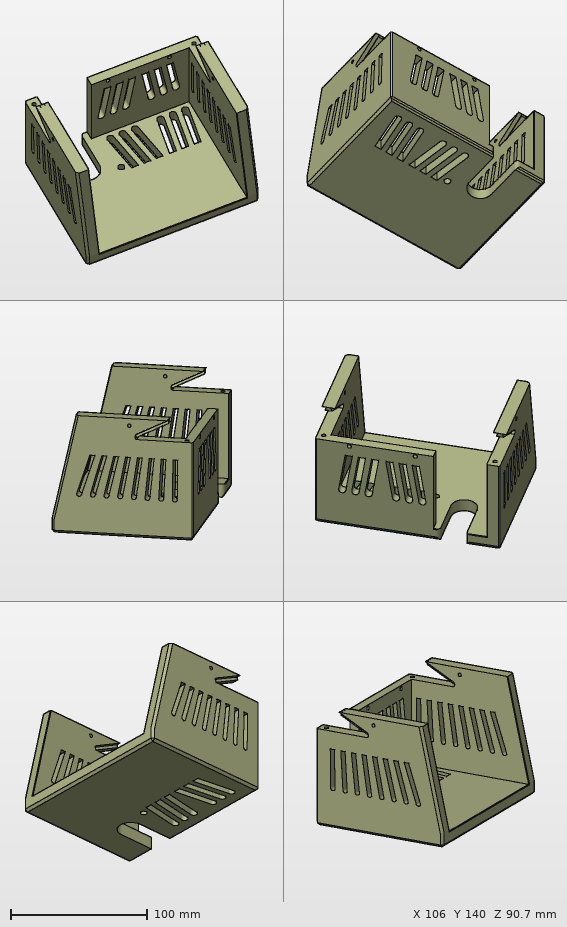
import cadquery as cq
import math

LENGTH = 106.0
WIDTH = 140.0
HEIGHT = 90.71

SIDE_THICKNESS = 10.0
FLOOR_THICKNESS = 10.0
FRONT_THICKNESS = 7.5
FRONT_HEIGHT = 75.0
FRONT_WALL_END_Y = -19.5
BACK_TOP_X = 88.0
BACK_BEND_Z = 10.7
OUTER_CHAMFER = 2.0
FRONT_EDGE_CHAMFER = 1.0
RIM_CHAMFER = 0.5
INNER_WIDTH = WIDTH - 2 * SIDE_THICKNESS
SIDE_CENTRE_Y = (WIDTH - SIDE_THICKNESS) / 2

HOOK_TIP_X = 19.0
NOTCH_END_X = 43.5
NOTCH_ROOF_END_X = 42.4
NOTCH_ROOF_END_Z = 78.9
RAIL_TIP_DROP = 2.8
RAIL_ROOT_WIDTH = 3.6
RAIL_BASE_WIDTH = 5.2

CABLE_SLOT_Y = -34.5
CABLE_SLOT_WIDTH = 20.0
CABLE_SLOT_END_X = 41.7
CABLE_MOUTH_RADIUS = 3.0

SIDE_VENT_COUNT = 8
SIDE_VENT_WIDTH = 3.6
SIDE_VENT_TOP_Z = 61.0
SIDE_VENT_BOTTOM_Z = 29.0
SIDE_VENT_TOP_X = 13.3
SIDE_VENT_TOP_PITCH = 8.87
SIDE_VENT_BOTTOM_X = 13.7
SIDE_VENT_BOTTOM_PITCH = 10.24

VENTS_PER_GROUP = 3
VENT_WIDTH = 5.4
VENT_LENGTH = 34.0
VENT_PITCH = 10.0
VENT_LEAN = 5.0
VENT_INNER_OFFSET = 5.4
FRONT_VENT_CENTRE_Y = 19.2
FRONT_VENT_START_Z = 30.0
FLOOR_VENT_CENTRE_Y = 23.9
FLOOR_VENT_START_X = 10.4
FLOOR_PLANE = cq.Plane(origin=(0, 0, 0), xDir=(0, 1, 0), normal=(0, 0, -1))

PILOT_DIAMETER = 3.0
PILOT_X = 5.5
PILOT_DEPTH = 20.0
HOOK_HOLE_DIAMETER = 2.55
HOOK_HOLE_X = 47.8
HOOK_HOLE_Z = 85.3
FRONT_HOLE_DIAMETER = 3.0
FRONT_HOLE_SPACING = 50.0
FRONT_HOLE_Z = 72.5
FLOOR_HOLE_DIAMETER = 5.0
FLOOR_HOLE_X = 40.5
FLOOR_HOLE_Y = -10.9


def across_width(profile):
    """Extrude an XZ profile through the full width."""
    return profile.extrude(WIDTH / 2, both=True)


def chamfer_rims(shell):
    """Break the floor and side wall edges around the front gap and the open back."""
    margin = 0.1
    inner_y = INNER_WIDTH / 2 + margin
    front_low = (-margin, -inner_y, FLOOR_THICKNESS - margin)
    front_high = (margin, FRONT_WALL_END_Y - margin, FRONT_HEIGHT + margin)
    front_rim = cq.selectors.BoxSelector(front_low, front_high)
    back_low = (BACK_TOP_X - margin, -inner_y, FLOOR_THICKNESS - margin)
    back_high = (LENGTH + margin, inner_y, HEIGHT - margin)
    back_rim = cq.selectors.BoxSelector(back_low, back_high)
    return shell.edges(front_rim).chamfer(RIM_CHAMFER).edges(back_rim).chamfer(RIM_CHAMFER)


def make_shell():
    """Solid block with a sloped back and chamfered edges, hollowed into floor and walls."""
    outline = [(0, 0), (LENGTH, 0), (LENGTH, BACK_BEND_Z), (BACK_TOP_X, HEIGHT), (0, HEIGHT)]
    block = across_width(cq.Workplane("XZ").polyline(outline).close())
    slope_middle = ((LENGTH + BACK_TOP_X) / 2, 0, (BACK_BEND_Z + HEIGHT) / 2)
    slope_face = block.faces(cq.selectors.NearestToPointSelector(slope_middle))
    chamfered = block.faces("<Z").edges("|X or |Y").add(block.faces(">X").edges("|Z"))
    block = chamfered.add(slope_face.edges("not |Y")).chamfer(OUTER_CHAMFER)
    block = block.faces("<X").edges("not >Z").chamfer(FRONT_EDGE_CHAMFER)

    cavity = cq.Workplane("XY").box(
        LENGTH, INNER_WIDTH, HEIGHT, centered=(False, True, False)
    ).translate((FRONT_THICKNESS, 0, FLOOR_THICKNESS))
    front_gap_width = INNER_WIDTH / 2 + FRONT_WALL_END_Y
    front_gap = cq.Workplane("XY").box(
        LENGTH, front_gap_width, HEIGHT, centered=False
    ).translate((0, -INNER_WIDTH / 2, FLOOR_THICKNESS))
    above_front = cq.Workplane("XY").box(
        HOOK_TIP_X, WIDTH, HEIGHT, centered=(False, True, False)
    ).translate((0, 0, FRONT_HEIGHT))
    shell = block.cut(cavity).cut(front_gap).cut(above_front)
    return chamfer_rims(shell)


def make_notch():
    """Wedge below the hook, ending in a rounded corner."""
    end_radius_z = (FRONT_HEIGHT + NOTCH_ROOF_END_Z) / 2
    return across_width(
        cq.Workplane("XZ")
        .moveTo(HOOK_TIP_X, FRONT_HEIGHT)
        .lineTo(HOOK_TIP_X, HEIGHT)
        .lineTo(NOTCH_ROOF_END_X, NOTCH_ROOF_END_Z)
        .threePointArc((NOTCH_END_X, end_radius_z), (NOTCH_ROOF_END_X, FRONT_HEIGHT))
        .close()
    )


def make_rail(centre_y):
    """Dovetail rail under the hook, wider at its lower face, following the notch roof."""
    root = RAIL_ROOT_WIDTH / 2
    base = RAIL_BASE_WIDTH / 2
    run = NOTCH_END_X - HOOK_TIP_X
    roof_slope = (NOTCH_ROOF_END_Z - HEIGHT) / (NOTCH_ROOF_END_X - HOOK_TIP_X)
    base_z = HEIGHT - RAIL_TIP_DROP
    section = [(-root, HEIGHT), (root, HEIGHT), (base, base_z), (-base, base_z)]
    path = cq.Workplane("XZ").moveTo(HOOK_TIP_X, HEIGHT).lineTo(NOTCH_END_X, HEIGHT + roof_slope * run)
    rail = cq.Workplane("YZ").workplane(offset=HOOK_TIP_X).polyline(section).close().sweep(path)
    return rail.translate((0, centre_y, 0))


def make_vent(plane, flat_end, round_tip, width, depth):
    """Leaning slot: flat end cut square to the plane's second axis, round end at the other.

    flat_end is the middle of the flat end, round_tip the lowest point of the round end.
    """
    radius = width / 2
    centre = (round_tip[0], round_tip[1] + radius)
    lean = math.atan2(flat_end[0] - centre[0], flat_end[1] - centre[1])
    side = (radius * math.cos(lean), -radius * math.sin(lean))
    half_flat = radius / math.cos(lean)
    bottom = (centre[0] - radius * math.sin(lean), centre[1] - radius * math.cos(lean))
    return (
        cq.Workplane(plane)
        .moveTo(flat_end[0] - half_flat, flat_end[1])
        .lineTo(flat_end[0] + half_flat, flat_end[1])
        .lineTo(centre[0] + side[0], centre[1] + side[1])
        .threePointArc(bottom, (centre[0] - side[0], centre[1] - side[1]))
        .close()
        .extrude(depth, both=True)
    )


def cut_side_vents(body):
    """Fan of slots through both side walls."""
    for index in range(SIDE_VENT_COUNT):
        top = (SIDE_VENT_TOP_X + index * SIDE_VENT_TOP_PITCH, SIDE_VENT_TOP_Z)
        bottom = (SIDE_VENT_BOTTOM_X + index * SIDE_VENT_BOTTOM_PITCH, SIDE_VENT_BOTTOM_Z)
        body = body.cut(make_vent("XZ", top, bottom, SIDE_VENT_WIDTH, WIDTH))
    return body


def cut_vent_groups(body, plane, centre_y, start, depth):
    """Two groups of parallel slots, leaning towards each other at their flat ends."""
    for side in (-1, 1):
        for index in range(VENTS_PER_GROUP):
            offset = VENT_INNER_OFFSET + index * VENT_PITCH
            flat_end = (centre_y + side * offset, start + VENT_LENGTH)
            round_tip = (centre_y + side * (offset + VENT_LEAN), start)
            body = body.cut(make_vent(plane, flat_end, round_tip, VENT_WIDTH, depth))
    return body


def cut_cable_slot(body):
    """Round-ended slot in the floor, open at the front with rounded mouth corners."""
    half = CABLE_SLOT_WIDTH / 2
    mouth = half + CABLE_MOUTH_RADIUS
    slot = (
        cq.Workplane("XY")
        .moveTo(0, mouth)
        .radiusArc((CABLE_MOUTH_RADIUS, half), -CABLE_MOUTH_RADIUS)
        .lineTo(CABLE_SLOT_END_X - half, half)
        .threePointArc((CABLE_SLOT_END_X, 0), (CABLE_SLOT_END_X - half, -half))
        .lineTo(CABLE_MOUTH_RADIUS, -half)
        .radiusArc((0, -mouth), -CABLE_MOUTH_RADIUS)
        .close()
        .extrude(FLOOR_THICKNESS)
    )
    return body.cut(slot.translate((0, CABLE_SLOT_Y, 0)))


def make_pin(plane, centre, diameter, depth):
    """Round cutter reaching equally far to both sides of the plane."""
    return cq.Workplane(plane).center(*centre).circle(diameter / 2).extrude(depth, both=True)


def cut_holes(body):
    """Hook and floor holes, front wall holes and blind pilot holes in the side walls."""
    body = body.cut(make_pin("XZ", (HOOK_HOLE_X, HOOK_HOLE_Z), HOOK_HOLE_DIAMETER, WIDTH))
    body = body.cut(make_pin("XY", (FLOOR_HOLE_X, FLOOR_HOLE_Y), FLOOR_HOLE_DIAMETER, FLOOR_THICKNESS))
    for side in (-1, 1):
        front_y = FRONT_VENT_CENTRE_Y + side * FRONT_HOLE_SPACING / 2
        body = body.cut(make_pin("YZ", (front_y, FRONT_HOLE_Z), FRONT_HOLE_DIAMETER, FRONT_THICKNESS))
        pilot = make_pin("XY", (PILOT_X, side * SIDE_CENTRE_Y), PILOT_DIAMETER, PILOT_DEPTH)
        body = body.cut(pilot.translate((0, 0, FRONT_HEIGHT)))
    return body


body = make_shell().cut(make_notch())
for rail_side in (-1, 1):
    body = body.union(make_rail(rail_side * SIDE_CENTRE_Y))
body = cut_side_vents(body)
body = cut_vent_groups(body, "YZ", FRONT_VENT_CENTRE_Y, FRONT_VENT_START_Z, FRONT_THICKNESS)
body = cut_vent_groups(body, FLOOR_PLANE, FLOOR_VENT_CENTRE_Y, FLOOR_VENT_START_X, FLOOR_THICKNESS)
body = cut_cable_slot(body)
result = cut_holes(body)